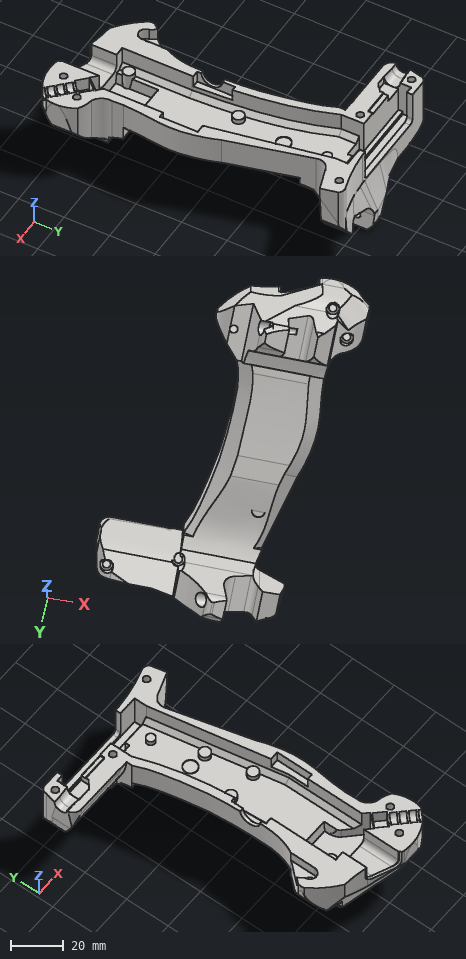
import cadquery as cq
import math


SPAN_X = 84.4
SPAN_Y = 131.9
DEPTH = 37.8
MARGIN = 6.6

HANDLE_Y = (34.3, 106.1)
HANDLE_DEPTH = 17.7
HANDLE_BEVEL = 5.7
TOE_START = (38.1, 8.7)
TOE_CORNER = (49.5, 6.7)
TOE_END = (64.1, 0.4)

FLOOR_Z = -9.8
FLOOR_BEVEL = 2.2
CAVITY_LOW_Y = 18.5
CAVITY_TOP_Y = 118.7
CAVITY_LOW_X = (45.0, 67.8)
CAVITY_TOP_X = (34.8, 56.6)
BATTERY_FLOOR_Z = -14.5

CHANNEL_X = (49.3, 62.5)
CHANNEL_DEPTH = 8.2
CHANNEL_CORNER_R = 2.6
CHANNEL_FLARE = 0.8

CROSS_X = (8.7, CAVITY_TOP_X[1])
CROSS_Y = (CAVITY_TOP_Y, 120.7, 124.2)
CROSS_DEPTH = 15.8
CROSS_STEP_DEPTH = 14.5
CROSS_OPENING_X = (11.9, 47.9)
CROSS_OPENING_R = 1.7
NOTCH_Y = 116.5
LIP_NOTCH_DEPTH = 0.5
ARM_RECESS_DEPTH = 3.4

SCREW_D = 3.0
SCREW_HEAD_D = 5.0
ARM_HEAD_Z = -18.7
LOWER_HEAD_Z = -15.7
ARM_SCREWS = [(4.9, 122.2), (31.3, 115.0)]
LOWER_SCREWS = [(34.2, 22.4), (76.9, 17.0), (69.5, 6.9)]
BLIND_SCREW = (66.3, 126.0)
BLIND_SCREW_DEPTH = 10.5
CLAMP_SEATS = [(46.8, 124.6, -33.0), (47.5, 16.6, -26.4)]
CLAMP_HEAD_D = 5.5
CLAMP_HOLE_D = 2.8
CLAMP_TILT = 14.0
CLAMP_REACH = 10.5

PIN_TOP_Z = -7.5
PINS = [(50.1, 111.4, 4.0), (57.5, 91.1, 5.0), (48.0, 71.2, 5.0), (61.7, 71.2, 5.0), (48.0, 23.1, 5.0)]
DIMPLE = (50.1, 92.3, 6.2)
DIMPLE_DEPTH = 0.4

CABLE_START = (68.6, 17.5)
CABLE_ANGLE = -45.0
CABLE_SEAT_WIDTH = 6.9
CABLE_SEAT_DEPTH = 5.9
CABLE_SEAT_LENGTH = 4.7
CABLE_SEAT_LEAD = 0.9
CABLE_WIDE_D = 5.5
CABLE_NARROW_D = 4.0
CABLE_RIB_PITCH = 3.7
CABLE_RIB_WIDTH = 0.9
CABLE_RIBS = 4

ARM_GROOVE_D = 6.2
ARM_GROOVE_INNER_D = 7.1
ARM_GROOVE_STRAIGHT = 3.4
ARM_GROOVE_Y = 115.9
BUTTON_R = 4.6
BUTTON_Y = 56.0
BUTTON_POCKET_Y = (49.6, 66.2)
BUTTON_POCKET_X = (41.9, 70.3)
BUTTON_POCKET_DEPTH = 5.3
LOWER_RECESS_DEPTH = 5.1


def block(x0, x1, y0, y1, z0, z1):
    """Axis-aligned box between the given limits."""
    return cq.Workplane("XY").box(x1 - x0, y1 - y0, z1 - z0, centered=False).translate((x0, y0, z0))


def side_prism(points, x0, x1):
    """Prism along X from a (y, z) outline."""
    return cq.Workplane("YZ").polyline(points).close().extrude(x1 - x0).translate((x0, 0, 0))


def hanging_cylinder(x, y, diameter, z_top, z_bottom):
    return cq.Workplane("XY", origin=(x, y, z_bottom)).circle(diameter / 2).extrude(z_top - z_bottom)


def plan_outline():
    """Outer edge of the parting face, counter-clockwise from the arm tip."""
    return (
        cq.Workplane("XY")
        .moveTo(0, 118.0)
        .lineTo(0, 112.7)
        .threePointArc((1.2, 110.1), (4, 108.9))
        .lineTo(25.2, 108.8)
        .threePointArc((29, 108.3), (31.5, 106.3))
        .spline([(33.9, 100.2), (36.4, 90.2), (39.4, 72.5), (40.3, 56.5), (39.7, 41.1), (36.7, 33.2)],
                includeCurrent=True)
        .lineTo(27.4, 22.8)
        .threePointArc((27.2, 21.5), (27.4, 19.9))
        .spline([(33, 13.0), TOE_START], includeCurrent=True)
        .spline([(44.2, 7.9), TOE_CORNER], includeCurrent=True)
        .lineTo(*TOE_END)
        .threePointArc((67.9, 0), (72.0, 0.3))
        .spline([(78.0, 2.5), (83.9, 7.5)], includeCurrent=True)
        .threePointArc((SPAN_X, 12.5), (82.0, 20.3))
        .threePointArc((79.4, 21.8), (76.0, 22.7))
        .threePointArc((73.2, 24.8), (72.0, 29.4))
        .spline([(72.3, 41.8), (73.6, 57.0), (72.4, 66.7), (69.6, 76.1)], includeCurrent=True)
        .lineTo(60.4, 112.2)
        .threePointArc((60.4, 115.5), (63.2, 118.3))
        .lineTo(73.7, 121.8)
        .lineTo(72.1, 129.0)
        .threePointArc((70.5, 130.1), (68.2, 130.0))
        .spline([(59.0, 127.8), (50.1, 126.7)], includeCurrent=True)
        .lineTo(4.1, 126.7)
        .threePointArc((2.2, 125.9), (1.5, 124))
        .close()
    )


def claw_bulge():
    """Upper flank swelling outwards in Y down to the tip of the clamp screw prong."""
    root_y = 121.3
    rim_z = -CROSS_STEP_DEPTH
    swell_z = -29.0
    rim = [(22.3, 126.6), (36.9, 126.6), (48.3, 126.6), (51.8, 126.6), (59.0, 127.8), (68.2, 129.9)]
    swell = [(22.3, 126.6), (36.9, 129.9), (47.2, SPAN_Y), (50.0, SPAN_Y), (63.8, 131.3), (68.2, 130.8)]

    def closed(points):
        return [(points[0][0], root_y)] + points + [(points[-1][0], root_y)]

    flank = (
        cq.Workplane("XY", origin=(0, 0, rim_z))
        .polyline(closed(rim)).close()
        .workplane(offset=swell_z - rim_z)
        .polyline(closed(swell)).close()
        .loft(ruled=True)
    )
    foot = cq.Workplane("XY", origin=(0, 0, swell_z)).polyline(closed(swell)).close().extrude(-DEPTH - swell_z)
    return flank.union(foot)


def front_prism(profile, y0, y1):
    """Prism along Y from an (x, z) profile."""
    return profile.extrude(y0 - y1).translate((0, y0, 0))


def arm_and_upper_claw(column):
    profile = (
        cq.Workplane("XZ")
        .moveTo(0, 0)
        .lineTo(0.7, -11.9)
        .threePointArc((2.1, -19.0), (6.9, -23.0))
        .spline([(20.0, -25.3), (32.2, -26.2)], includeCurrent=True)
        .threePointArc((37.7, -29.9), (43.5, -36.0))
        .threePointArc((44.8, -37.5), (46.8, -DEPTH))
        .lineTo(51.4, -36.8)
        .lineTo(49.6, -29.8)
        .threePointArc((50.4, -26.4), (53.4, -24.3))
        .lineTo(59.3, -22.4)
        .threePointArc((61.3, -22.3), (62.6, -23.7))
        .lineTo(64.6, -27.7)
        .lineTo(71.9, -18.5)
        .lineTo(74.5, 0)
        .close()
    )
    head = column.union(claw_bulge()).intersect(front_prism(profile, HANDLE_Y[1], SPAN_Y + MARGIN))
    arm_shoulder_x = 31.6
    arm_relief = (
        cq.Workplane("YZ", origin=(-MARGIN, 0, 0))
        .moveTo(108.7, 0)
        .threePointArc((111.2, -10.8), (116.4, -19.4))
        .lineTo(129.2, -25.7)
        .lineTo(129.2, -DEPTH)
        .lineTo(105.5, -DEPTH)
        .lineTo(105.5, 0)
        .close()
        .extrude(arm_shoulder_x + MARGIN)
    )
    return head.cut(arm_relief)


def lower_claw(column):
    profile = (
        cq.Workplane("XZ")
        .moveTo(27.2, 0)
        .threePointArc((28.9, -9.9), (32.7, -15.7))
        .lineTo(39.5, -15.7)
        .lineTo(43.5, -27.0)
        .threePointArc((44.2, -29.3), (45.9, -30.7))
        .lineTo(54.2, -28.6)
        .lineTo(53.3, -24.4)
        .lineTo(60.4, -22.2)
        .threePointArc((61.8, -22.3), (62.9, -23.7))
        .lineTo(65.4, -29.4)
        .lineTo(71.5, -23.6)
        .lineTo(72.0, -21.5)
        .spline([(78.5, -17.9), (83.1, -12.9)], includeCurrent=True)
        .lineTo(SPAN_X, 0)
        .close()
    )
    heel = (
        cq.Workplane("XZ")
        .moveTo(54.7, 0)
        .lineTo(54.3, -5.9)
        .threePointArc((52.0, -13.2), (44.8, -19.1))
        .lineTo(39.5, -DEPTH)
        .lineTo(0, -DEPTH)
        .lineTo(0, 0)
        .close()
        .extrude(SPAN_Y, both=True)
        .rotate((0, 0, 0), (0, 0, 1), CABLE_ANGLE)
    )
    toe_run = (TOE_END[0] - TOE_START[0], TOE_END[1] - TOE_START[1])
    toe_bevel = (
        side_prism([(-MARGIN, -8.6), (0, -8.6), (9.2, -33), (-MARGIN, -33)], -MARGIN, math.hypot(*toe_run))
        .rotate((0, 0, 0), (0, 0, 1), math.degrees(math.atan2(toe_run[1], toe_run[0])))
        .translate((TOE_START[0], TOE_START[1], 0))
    )
    claw = column.intersect(front_prism(profile, -MARGIN, HANDLE_Y[0]))
    return claw.intersect(heel).cut(toe_bevel)


def side_envelope():
    """Silhouette along X: both claws hang below the shallower handle."""
    return (
        cq.Workplane("YZ")
        .moveTo(0, 0)
        .lineTo(0.4, -8.3)
        .threePointArc((2.0, -13.5), (7.6, -19.5))
        .lineTo(14.1, -27.2)
        .threePointArc((17.8, -30.7), (23.7, -29))
        .threePointArc((26.6, -25.3), (28.2, -20.0))
        .spline([(33.2, -18.3), (43.9, -17.4), (67.0, -17.5), (80.7, -17.5), (102.9, -14.8), (111.4, -16.9)],
                includeCurrent=True)
        .lineTo(114.7, -22.0)
        .lineTo(121.2, -35.2)
        .threePointArc((123.7, -DEPTH), (129.8, -36.9))
        .lineTo(SPAN_Y, -34.3)
        .lineTo(SPAN_Y, 0)
        .close()
        .extrude(SPAN_X)
    )


def outer_body():
    column = plan_outline().extrude(-DEPTH)
    handle = plan_outline().extrude(-HANDLE_DEPTH)
    handle = handle.intersect(block(-MARGIN, SPAN_X, HANDLE_Y[0], HANDLE_Y[1], -HANDLE_DEPTH, 0))
    handle = handle.faces("<Z").edges("not |X").chamfer(HANDLE_BEVEL)
    body = handle.union(arm_and_upper_claw(column)).union(lower_claw(column))
    return body.intersect(side_envelope())


def cavity_outline(inset):
    """Handle cavity between the two curved walls, with the walls moved inwards by inset."""
    low_left, low_right = CAVITY_LOW_X[0] + inset, CAVITY_LOW_X[1] - inset
    top_left, top_right = CAVITY_TOP_X[0] + inset, CAVITY_TOP_X[1] - inset
    return (
        cq.Workplane("XY")
        .moveTo(top_left, CAVITY_TOP_Y)
        .lineTo(top_left, 108.8)
        .spline([(39.7 + inset, 93.1), (43.4 + inset, 71.7), (low_left, 49.0)], includeCurrent=True)
        .lineTo(low_left, CAVITY_LOW_Y)
        .lineTo(low_right, CAVITY_LOW_Y)
        .lineTo(low_right, 58.8)
        .lineTo(top_right, CAVITY_TOP_Y)
        .close()
    )


def handle_cavity():
    bevel_z = FLOOR_Z + FLOOR_BEVEL
    upper = cavity_outline(0).extrude(bevel_z)
    lower = cq.Solid.makeLoft([
        cavity_outline(0).wires().val().translate(cq.Vector(0, 0, bevel_z)),
        cavity_outline(FLOOR_BEVEL).wires().val().translate(cq.Vector(0, 0, FLOOR_Z)),
    ], True)
    right = CAVITY_LOW_X[1]
    cut_back = right - CHANNEL_X[1]
    corner_fill = (
        cq.Workplane("XY")
        .polyline([(right - cut_back, CAVITY_LOW_Y), (right, CAVITY_LOW_Y + cut_back), (right, CAVITY_LOW_Y)])
        .close()
        .extrude(-DEPTH)
    )
    return upper.union(cq.Workplane(lower)).cut(corner_fill)


def battery_pocket():
    """Deeper pocket in the cavity floor that leads diagonally towards the cable outlet."""
    left, right, end = 49.2, 61.3, 36.7
    wall_draft = 10
    drafted = (
        cq.Workplane("XY", origin=(0, 0, FLOOR_Z))
        .center((left + right) / 2, end / 2)
        .rect(right - left, end)
        .extrude(BATTERY_FLOOR_Z - FLOOR_Z, taper=wall_draft)
        .intersect(block(left, right, CAVITY_LOW_Y, end, -DEPTH, 0))
    )
    passage = (
        cq.Workplane("XY")
        .moveTo(59.3, CAVITY_LOW_Y)
        .lineTo(59.3, 33)
        .lineTo(60.7, 33)
        .threePointArc((61.0, 31.1), (62.1, 29.3))
        .lineTo(70.0, 21.4)
        .lineTo(65.1, 15.8)
        .lineTo(62.5, CAVITY_LOW_Y)
        .close()
        .extrude(BATTERY_FLOOR_Z)
    )
    return drafted.union(passage)


def outlet_channel():
    """Channel with rounded bottom corners, open and flared at the slanting lower edge."""
    left, right = CHANNEL_X
    channel = block(left, right, -MARGIN, CAVITY_LOW_Y, -CHANNEL_DEPTH, MARGIN)
    channel = channel.edges("|Y and <Z").fillet(CHANNEL_CORNER_R)

    slope = (TOE_END[1] - TOE_CORNER[1]) / (TOE_END[0] - TOE_CORNER[0])
    middle = (left + right) / 2
    mouth_y = TOE_CORNER[1] + slope * (middle - TOE_CORNER[0])
    mouth = cq.Plane(origin=(middle, mouth_y, 0), xDir=(1, slope, 0), normal=(-slope, 1, 0))
    mouth_width = (right - left) * math.hypot(1, slope)
    section = (
        cq.Sketch()
        .rect(mouth_width + 2 * CHANNEL_FLARE, 2 * (CHANNEL_DEPTH + CHANNEL_FLARE))
        .vertices()
        .fillet(CHANNEL_CORNER_R + CHANNEL_FLARE)
    )
    flare = cq.Workplane(mouth).placeSketch(section).extrude(CHANNEL_FLARE, taper=45)
    return channel.union(flare)


def cable_outlet():
    """Rectangular seat followed by a ribbed half-round grip in the parting face, along the 45 degree axis."""
    def bore(diameter, start, length):
        return cq.Workplane("YZ").circle(diameter / 2).extrude(length).translate((start, 0, 0))

    seat_side = CABLE_SEAT_WIDTH / 2
    tool = block(-CABLE_SEAT_LEAD, CABLE_SEAT_LENGTH, -seat_side, seat_side, -CABLE_SEAT_DEPTH, 0)
    tool = tool.union(bore(CABLE_NARROW_D, 0, CABLE_SEAT_LENGTH + CABLE_RIBS * CABLE_RIB_PITCH))
    for i in range(CABLE_RIBS):
        start = CABLE_SEAT_LENGTH + i * CABLE_RIB_PITCH + CABLE_RIB_WIDTH
        tool = tool.union(bore(CABLE_WIDE_D, start, CABLE_RIB_PITCH - CABLE_RIB_WIDTH))
    return tool.rotate((0, 0, 0), (0, 0, 1), CABLE_ANGLE).translate((CABLE_START[0], CABLE_START[1], 0))


def upper_cross_slot():
    """Stepped slot across the upper end, open through the upper flank, plus its side recesses."""
    left, right = CROSS_X
    low_y, step_y, high_y = CROSS_Y
    recess_right = 16.4
    slot = block(left, right, step_y, high_y, -CROSS_DEPTH, 0)
    slot = slot.union(block(left, right, low_y, step_y, -CROSS_STEP_DEPTH, 0))
    opening = block(CROSS_OPENING_X[0], CROSS_OPENING_X[1], high_y, SPAN_Y + MARGIN, -CROSS_STEP_DEPTH, MARGIN)
    opening = opening.edges("|Y and <Z").fillet(CROSS_OPENING_R)
    arm_recess = (
        cq.Workplane("XY")
        .polyline([(left, low_y), (left, 112.3), (13.2, 112.3), (recess_right, 115.0), (recess_right, low_y)])
        .close()
        .extrude(-ARM_RECESS_DEPTH)
    )
    lip_notch = block(recess_right, 28.1, NOTCH_Y, low_y, -LIP_NOTCH_DEPTH, 0)
    floor_notch = block(CAVITY_TOP_X[0], 43.5, NOTCH_Y, low_y, -CROSS_STEP_DEPTH, 0)
    return slot.union(opening).union(arm_recess).union(lip_notch).union(floor_notch)


def arm_groove():
    """Half-round groove through the arm tip that widens conically into the arm recess."""
    straight = (
        cq.Workplane("YZ", origin=(-MARGIN, ARM_GROOVE_Y, 0))
        .circle(ARM_GROOVE_D / 2)
        .extrude(MARGIN + ARM_GROOVE_STRAIGHT)
    )
    cone = (
        cq.Workplane("YZ", origin=(ARM_GROOVE_STRAIGHT, ARM_GROOVE_Y, 0))
        .circle(ARM_GROOVE_D / 2)
        .workplane(offset=CROSS_X[0] - ARM_GROOVE_STRAIGHT)
        .circle(ARM_GROOVE_INNER_D / 2)
        .loft()
    )
    return straight.union(cone)


def button_opening():
    """Half-round window through the left wall and a shallow pocket into both walls."""
    x0, x1 = BUTTON_POCKET_X
    window = cq.Workplane("YZ", origin=(x0 - MARGIN, BUTTON_Y, 0)).circle(BUTTON_R).extrude(MARGIN)
    pocket = block(x0, x1, BUTTON_POCKET_Y[0], BUTTON_POCKET_Y[1], -BUTTON_POCKET_DEPTH, 0)
    return window.union(pocket)


def lower_screw_recess():
    """Recess around the lower left screw, open through the left flank."""
    x, y = LOWER_SCREWS[0]
    radius = 2.9
    outline = (
        cq.Workplane("XY")
        .moveTo(x + radius, 39.5)
        .lineTo(x + radius, y)
        .threePointArc((x, y - radius), (x - radius, y))
        .lineTo(29, 25.7)
        .lineTo(19.8, 29)
        .close()
    )
    return outline.extrude(-LOWER_RECESS_DEPTH)


def face_screws():
    """Clearance holes through the body with head counterbores from below."""
    tool = hanging_cylinder(BLIND_SCREW[0], BLIND_SCREW[1], SCREW_D, 0, -BLIND_SCREW_DEPTH)
    for places, head_z in ((ARM_SCREWS, ARM_HEAD_Z), (LOWER_SCREWS, LOWER_HEAD_Z)):
        for x, y in places:
            tool = tool.union(hanging_cylinder(x, y, SCREW_D, 0, -DEPTH))
            tool = tool.union(hanging_cylinder(x, y, SCREW_HEAD_D, head_z, -DEPTH))
    return tool


def clamp_screw(x, y, z):
    """Counterbored hole through a prong; (x, y, z) is the centre of the head seat."""
    head = cq.Workplane("YZ").circle(CLAMP_HEAD_D / 2).extrude(-CLAMP_REACH)
    hole = cq.Workplane("YZ").circle(CLAMP_HOLE_D / 2).extrude(CLAMP_REACH)
    return head.union(hole).rotate((0, 0, 0), (0, 1, 0), -CLAMP_TILT).translate((x, y, z))


def floor_pin(x, y, diameter):
    return hanging_cylinder(x, y, diameter, PIN_TOP_Z, BATTERY_FLOOR_Z - 1.3)


result = outer_body().cut(handle_cavity()).cut(battery_pocket())
for x, y, diameter in PINS:
    result = result.union(floor_pin(x, y, diameter))

for tool in (
    outlet_channel(),
    cable_outlet(),
    upper_cross_slot(),
    arm_groove(),
    button_opening(),
    lower_screw_recess(),
    face_screws(),
    *[clamp_screw(*seat) for seat in CLAMP_SEATS],
    hanging_cylinder(*DIMPLE, FLOOR_Z, FLOOR_Z - DIMPLE_DEPTH),
):
    result = result.cut(tool)